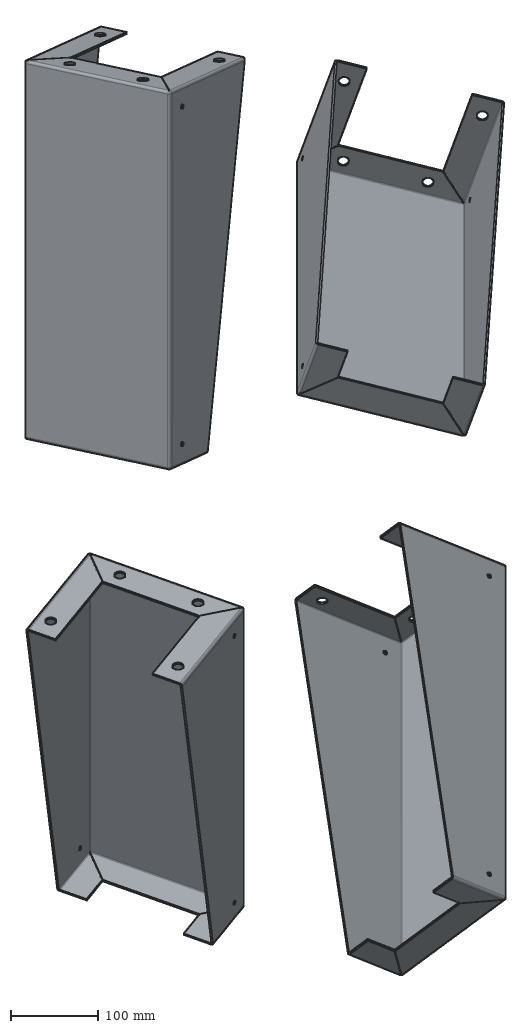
import cadquery as cq
import math

width = 203.0
depth_top = 152.2
depth_bottom = 76.5
height = 457.0

sheet = 2.5
bend_radius = 3.45
inner_bend_radius = bend_radius - sheet
flange_width = 38.5
miter_gap = 0.5

mount_diameter = 13.0
rear_hole_from_back = 25.0
rear_hole_from_side = 18.7
front_hole_spacing = 101.5
front_hole_from_front = 19.0

side_hole_diameter = 5.0
side_hole_from_front = 25.0
side_hole_from_end = 25.0


def rounded_block(inset, radius):
    """Block inset from the outer faces, open-ended past the back, rounded everywhere but there."""
    length = 2 * depth_top
    block = cq.Workplane("XY").box(
        width - 2 * inset, length, height - 2 * inset, centered=(True, False, False)
    )
    rounded = block.edges("|Z and <Y").fillet(radius)
    rounded = rounded.faces("<Z or >Z").edges("not >Y").fillet(radius)
    return rounded.translate((0, inset, inset))


def side_profile():
    """Side outline: upright front, back edge sloping from the deep top to the shallow bottom."""
    outline = [
        (0, 0),
        (depth_bottom, 0),
        (depth_top, height),
        (0, height),
    ]
    return cq.Workplane("YZ").polyline(outline).close().extrude(width / 2, both=True)


def flange_window():
    """Opening left between the flanges, through both top and bottom."""
    return (
        cq.Workplane("XY")
        .box(width - 2 * flange_width, depth_top, height, centered=(True, False, False))
        .translate((0, flange_width, 0))
    )


def miter_slits():
    """Slits at 45 degrees from the window corners to the bends, through both flange levels."""
    start = bend_radius
    end = flange_width + miter_gap
    length = math.sqrt(2) * (end - start)
    middle = (start + end) / 2
    slit = cq.Workplane("XY").box(length, miter_gap, height, centered=(True, True, False))
    left = slit.rotate((0, 0, 0), (0, 0, 1), 45).translate((middle - width / 2, middle, 0))
    return left.union(left.mirror("YZ"))


def mount_holes():
    rear_x = width / 2 - rear_hole_from_side
    rear_y = depth_top - rear_hole_from_back
    front_x = front_hole_spacing / 2
    centers = []
    for side in (-1, 1):
        centers.append((side * rear_x, rear_y))
        centers.append((side * front_x, front_hole_from_front))
    return (
        cq.Workplane("XY", origin=(0, 0, height))
        .pushPoints(centers)
        .circle(mount_diameter / 2)
        .extrude(-2 * sheet)
    )


def side_holes():
    centers = [
        (side_hole_from_front, side_hole_from_end),
        (side_hole_from_front, height - side_hole_from_end),
    ]
    return (
        cq.Workplane("YZ")
        .pushPoints(centers)
        .circle(side_hole_diameter / 2)
        .extrude(width, both=True)
    )


shell = rounded_block(0, bend_radius).cut(rounded_block(sheet, inner_bend_radius))
housing = shell.intersect(side_profile()).cut(flange_window()).cut(miter_slits())
result = housing.cut(mount_holes()).cut(side_holes())